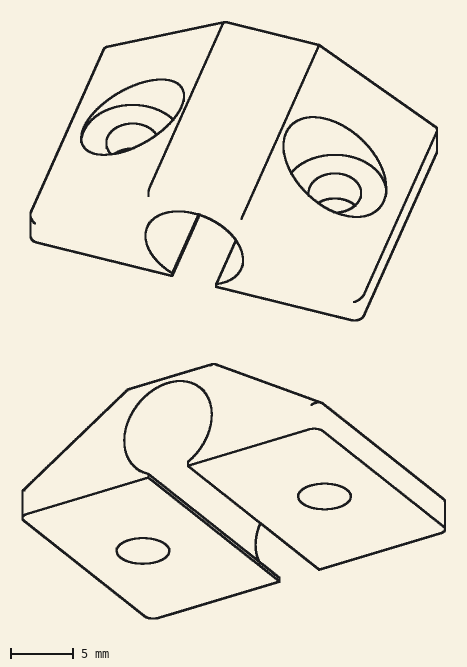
import cadquery as cq

length = 28.0
width = 20.0
height = 9.0
side_height = 2.52
ridge_width = 8.0
edge_radius = 0.8

channel_diameter = 8.2
channel_height = 4.0
slot_width = 3.7

screw_spacing = 17.0
screw_diameter = 4.2
head_diameter = 8.2
head_floor = 3.0


def clamp_body():
    """Trapezoidal body with rounded end edges and a flat, sharp-edged base."""
    profile = [
        (-length / 2, 0),
        (-length / 2, side_height),
        (-ridge_width / 2, height),
        (ridge_width / 2, height),
        (length / 2, side_height),
        (length / 2, 0),
    ]
    body = cq.Workplane("XZ").polyline(profile).close().extrude(width / 2, both=True)
    return body.faces("|Y").edges("not <Z").fillet(edge_radius)


def cable_channel():
    """Round channel joined to the slot that opens it through the base."""
    channel = (
        cq.Workplane("XZ")
        .center(0, channel_height)
        .circle(channel_diameter / 2)
        .extrude(width / 2, both=True)
    )
    slot = cq.Workplane("XY").rect(slot_width, width).extrude(channel_height)
    return channel.union(slot)


def screw_holes():
    """Vertical screw holes with head pockets open to the flanks."""
    centers = [(-screw_spacing / 2, 0), (screw_spacing / 2, 0)]
    shanks = cq.Workplane("XY").pushPoints(centers).circle(screw_diameter / 2).extrude(height)
    heads = (
        cq.Workplane("XY")
        .workplane(offset=head_floor)
        .pushPoints(centers)
        .circle(head_diameter / 2)
        .extrude(height - head_floor)
    )
    return shanks.union(heads)


result = clamp_body().cut(cable_channel()).cut(screw_holes())